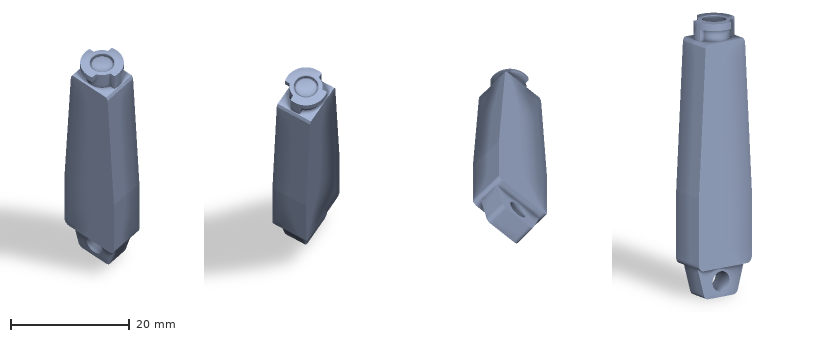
import cadquery as cq
import math

total_height = 48.4
tab_height = 5.5
head_height = 3.3
body_top = total_height - head_height

body_width = 11.0
body_depth = 6.6
taper_start = 18.4
shoulder_width = 8.2
bevel_width = 0.3
bevel_height = 0.6
body_bottom_radius = 1.0

tab_depth = 4.0
tab_top_width = 9.6
tab_side_angle = 15.0
tab_corner_radius = 1.0
tab_hole_diameter = 3.5
tab_hole_height = 2.75

flange_diameter = 7.4
flange_thickness = 1.2
core_diameter = 5.6
lug_half_width = 0.93

recess_diameter = 4.1
recess_rim_chamfer = 0.1
pin_diameter = 3.9
pin_chamfer = 0.2
pin_top_depth = 0.45
recess_depth = 0.7


def make_body():
    """Tapered handle with bevelled top edges and rounded bottom edges."""
    half_width = body_width / 2
    half_shoulder = shoulder_width / 2
    half_top = half_shoulder - bevel_width
    bevel_start = body_top - bevel_height
    right_side = [
        (half_width, tab_height),
        (half_width, taper_start),
        (half_shoulder, bevel_start),
        (half_top, body_top),
    ]
    left_side = [(-x, z) for x, z in reversed(right_side)]
    body = (
        cq.Workplane("XZ")
        .polyline(right_side + left_side)
        .close()
        .extrude(body_depth / 2, both=True)
    )
    return body.faces("<Z").edges("|Y").fillet(body_bottom_radius)


def make_tab():
    """Narrowing tab below the body, pierced along Y."""
    half_top = tab_top_width / 2
    half_bottom = half_top - tab_height * math.tan(math.radians(tab_side_angle))
    root_top = tab_height + body_bottom_radius
    tab = (
        cq.Workplane("XZ")
        .polyline([
            (-half_bottom, 0),
            (half_bottom, 0),
            (half_top, tab_height),
            (half_top, root_top),
            (-half_top, root_top),
            (-half_top, tab_height),
        ])
        .close()
        .extrude(tab_depth / 2, both=True)
        .faces("<Z")
        .edges("|Y")
        .fillet(tab_corner_radius)
    )
    hole = (
        cq.Workplane("XZ")
        .center(0, tab_hole_height)
        .circle(tab_hole_diameter / 2)
        .extrude(tab_depth, both=True)
    )
    return tab.cut(hole)


def disc(diameter, bottom, top):
    """Upright cylinder on the Z axis."""
    return cq.Workplane("XY").workplane(offset=bottom).circle(diameter / 2).extrude(top - bottom)


def make_head():
    """Bayonet head: core, two-lobed flange and two full-height stop lugs."""
    core = disc(core_diameter, body_top, total_height)

    stop_lugs = disc(flange_diameter, body_top, total_height).intersect(
        cq.Workplane("XY")
        .box(flange_diameter, 2 * lug_half_width, total_height, centered=(True, True, False))
    )

    flange = disc(flange_diameter, total_height - flange_thickness, total_height)
    notch_size = flange_diameter
    notch_offset = lug_half_width + notch_size / 2
    for side in (1, -1):
        notch = (
            cq.Workplane("XY")
            .center(-side * notch_offset, side * notch_offset)
            .rect(notch_size, notch_size)
            .extrude(total_height)
        )
        flange = flange.cut(notch)

    return core.union(stop_lugs).union(flange)


def make_pin():
    """Chamfered pin on the recess floor, its top below the rim of the head."""
    pin = disc(pin_diameter, total_height - recess_depth, total_height - pin_top_depth)
    return pin.faces(">Z").chamfer(pin_chamfer)


def make_recess():
    """Round recess in the top of the head, widened by a chamfer at its rim."""
    rim_diameter = recess_diameter + 2 * recess_rim_chamfer
    bore = disc(recess_diameter, total_height - recess_depth, total_height)
    rim = (
        cq.Workplane("XY")
        .workplane(offset=total_height - recess_rim_chamfer)
        .circle(recess_diameter / 2)
        .workplane(offset=recess_rim_chamfer)
        .circle(rim_diameter / 2)
        .loft()
    )
    return bore.union(rim)


handle = make_body().union(make_tab()).union(make_head())
result = handle.cut(make_recess()).union(make_pin())